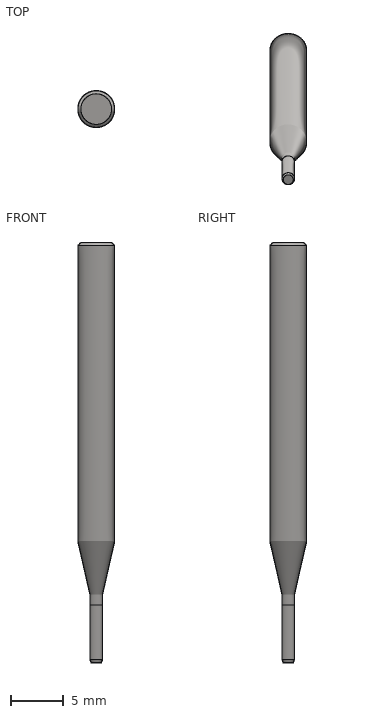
import cadquery as cq

total_length = 40.0
shank_diameter = 3.5
cutter_diameter = 1.2

cutter_length = 5.5
taper_start = 6.5
taper_end = 11.55

shank_chamfer = 0.3
tip_chamfer_height = 0.3
tip_chamfer_width = 0.1

shank_radius = shank_diameter / 2
cutter_radius = cutter_diameter / 2


def make_shank():
    """Revolve the neck, taper and chamfered cylindrical shank as one solid."""
    return (
        cq.Workplane("XZ")
        .moveTo(0, cutter_length)
        .lineTo(cutter_radius, cutter_length)
        .lineTo(cutter_radius, taper_start)
        .lineTo(shank_radius, taper_end)
        .lineTo(shank_radius, total_length - shank_chamfer)
        .lineTo(shank_radius - shank_chamfer, total_length)
        .lineTo(0, total_length)
        .close()
        .revolve(360, (0, 0, 0), (0, 1, 0))
    )


def make_cutter():
    """Revolve the cylindrical cutter with a steep chamfer at its free end."""
    return (
        cq.Workplane("XZ")
        .lineTo(cutter_radius - tip_chamfer_width, 0)
        .lineTo(cutter_radius, tip_chamfer_height)
        .lineTo(cutter_radius, cutter_length)
        .lineTo(0, cutter_length)
        .close()
        .revolve(360, (0, 0, 0), (0, 1, 0))
    )


shank = make_shank()
cutter = make_cutter()

result = cq.Compound.makeCompound([shank.val(), cutter.val()])